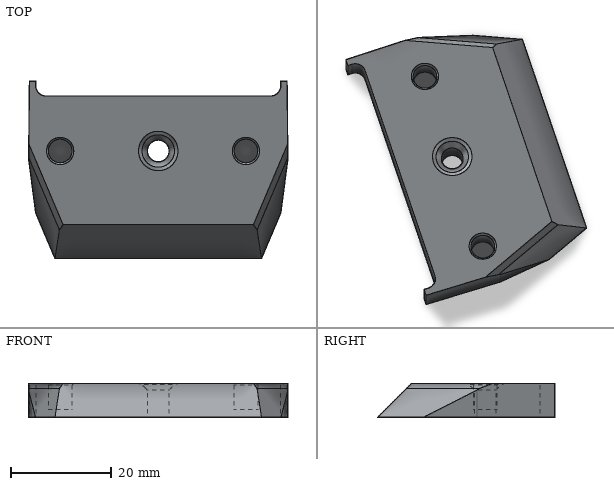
import cadquery as cq
import math

height = 6.8
depth = 35.45
half_width = 25.9

shoulder_y = 19.85
back_half_width = 25.75
side_taper = 7.5

front_slope = 45.0
front_half_width = 20.6
bevel_plan_angle = 23.0
bevel_break_z = 5.75
lower_bevel_inset = 3.05
upper_bevel_inset = 1.1

notch_half_width = 24.45
notch_floor_y = 32.5
notch_radius = 2.05

hole_y = 21.5
center_diameter = 4.3
countersink_diameter = 6.5
center_mouth_diameter = 7.85
center_mouth_depth = 0.25
countersink_depth = (countersink_diameter - center_diameter) / 2
pin_positions_x = (-19.6, 17.5)
pin_diameter = 4.7
pin_mouth_diameter = 5.45
pin_mouth_depth = (pin_mouth_diameter - pin_diameter) / 2
pin_depth = 5.2


def make_block():
    """Prism with tapered sides, before the sloping cuts."""
    front_width = half_width - shoulder_y * math.tan(math.radians(side_taper))
    return (
        cq.Workplane("XY")
        .polyline([
            (-front_width, 0),
            (front_width, 0),
            (half_width, shoulder_y),
            (back_half_width, depth),
            (-back_half_width, depth),
            (-half_width, shoulder_y),
        ])
        .close()
        .extrude(height)
    )


def make_front_cut():
    """Wedge above the sloping front face."""
    run = height / math.tan(math.radians(front_slope))
    return (
        cq.Workplane("YZ")
        .polyline([(0, 0), (run, height), (0, height)])
        .close()
        .extrude(half_width, both=True)
    )


def make_bevel_cut():
    """Two-facet cut running along the right front corner."""
    angle = math.radians(bevel_plan_angle)
    plane = cq.Plane(
        origin=(front_half_width, 0, 0),
        xDir=(math.cos(angle), -math.sin(angle), 0),
        normal=(-math.sin(angle), -math.cos(angle), 0),
    )
    return (
        cq.Workplane(plane)
        .polyline([
            (0, 0),
            (-lower_bevel_inset, bevel_break_z),
            (-lower_bevel_inset - upper_bevel_inset, height),
            (half_width, height),
            (half_width, 0),
        ])
        .close()
        .extrude(depth, both=True)
    )


def make_notch():
    """Rear notch with rounded inner corners, open at the back."""
    length = 2 * (depth - notch_floor_y)
    return (
        cq.Workplane("XY")
        .center(0, depth)
        .rect(2 * notch_half_width, length)
        .extrude(height)
        .edges("|Z and <Y")
        .fillet(notch_radius)
    )


def make_hole_cut(x, profile):
    """Round cut about a vertical axis; profile lists (diameter, z) from bottom to top."""
    bottom_z = profile[0][1]
    top_z = profile[-1][1]
    wall = [(diameter / 2, z) for diameter, z in profile]
    return (
        cq.Workplane("XZ", origin=(x, hole_y, 0))
        .polyline([(0, bottom_z)] + wall + [(0, top_z)])
        .close()
        .revolve(360, (0, 0), (0, 1))
    )


def make_center_hole():
    """Through hole with a countersink and a shallower cone at its mouth."""
    countersink_top = height - center_mouth_depth
    return make_hole_cut(0, [
        (center_diameter, 0),
        (center_diameter, countersink_top - countersink_depth),
        (countersink_diameter, countersink_top),
        (center_mouth_diameter, height),
    ])


def make_pin_hole(x):
    """Blind flat-bottomed hole with a chamfered mouth."""
    return make_hole_cut(x, [
        (pin_diameter, height - pin_depth),
        (pin_diameter, height - pin_mouth_depth),
        (pin_mouth_diameter, height),
    ])


right_bevel = make_bevel_cut()
result = make_block().cut(make_front_cut())
result = result.cut(right_bevel).cut(right_bevel.mirror("YZ"))
result = result.cut(make_notch()).cut(make_center_hole())
for pin_x in pin_positions_x:
    result = result.cut(make_pin_hole(pin_x))